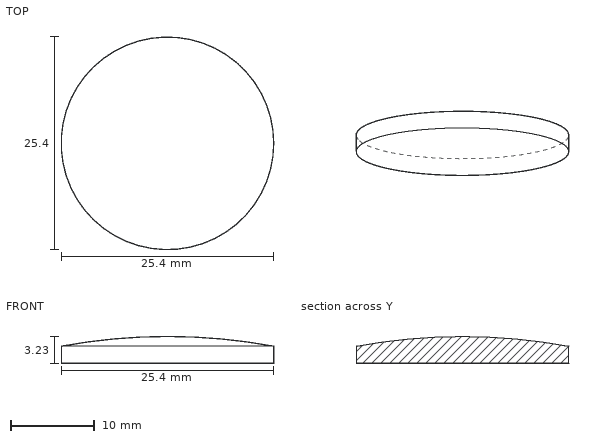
import cadquery as cq

diameter = 25.4
total_height = 3.23
rim_height = 2.05

radius = diameter / 2
crown_height = total_height - rim_height
sphere_radius = (radius**2 + crown_height**2) / (2 * crown_height)

blank = cq.Workplane("XY").circle(radius).extrude(total_height)
crown_sphere = cq.Workplane("XY", origin=(0, 0, total_height - sphere_radius)).sphere(sphere_radius)

result = blank.intersect(crown_sphere)